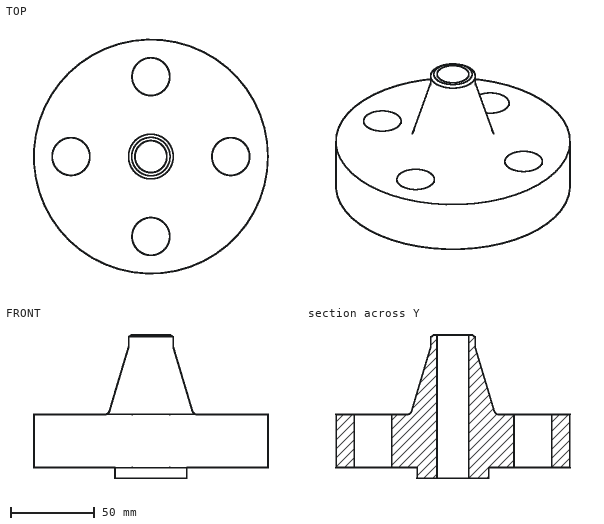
import cadquery as cq

flange_diameter = 139.7
flange_thickness = 31.75

spigot_diameter = 42.9
spigot_height = 6.35

overall_height = 85.6
neck_base_diameter = 50.8
neck_end_diameter = 26.7
neck_end_length = 7.2
bevel_height = 1.3
bevel_land_diameter = 22.9
neck_fillet_radius = 3.0

bore_diameter = 18.9
bolt_hole_diameter = 22.35
bolt_circle_diameter = 95.25
bolt_count = 4

flange_bottom = spigot_height
flange_top = flange_bottom + flange_thickness
cone_top = overall_height - neck_end_length
bevel_bottom = overall_height - bevel_height

selection_margin = 1.0


def make_base():
    """Flange disc standing on its smaller spigot."""
    spigot = cq.Workplane("XY").circle(spigot_diameter / 2).extrude(flange_bottom)
    disc = (
        cq.Workplane("XY")
        .workplane(offset=flange_bottom)
        .circle(flange_diameter / 2)
        .extrude(flange_thickness)
    )
    return spigot.union(disc)


def make_neck():
    """Conical hub ending in a straight, bevelled weld end."""
    return (
        cq.Workplane("XZ")
        .moveTo(0, flange_top)
        .lineTo(neck_base_diameter / 2, flange_top)
        .lineTo(neck_end_diameter / 2, cone_top)
        .lineTo(neck_end_diameter / 2, bevel_bottom)
        .lineTo(bevel_land_diameter / 2, overall_height)
        .lineTo(0, overall_height)
        .close()
        .revolve(360, (0, 0, 0), (0, 1, 0))
    )


def fillet_neck_root(body):
    """Round the corner between the cone and the flange face."""
    reach = neck_base_diameter / 2 + selection_margin
    around_root = cq.selectors.BoxSelector(
        (-reach, -reach, flange_top - selection_margin),
        (reach, reach, flange_top + selection_margin),
        boundingbox=True,
    )
    return body.edges(around_root).fillet(neck_fillet_radius)


def cut_bore(body):
    """Straight bore through the whole height."""
    bore = cq.Workplane("XY").circle(bore_diameter / 2).extrude(overall_height)
    return body.cut(bore)


def cut_bolt_holes(body):
    """Ring of through holes in the flange, the first one on +X."""
    holes = (
        cq.Workplane("XY")
        .workplane(offset=flange_bottom)
        .polarArray(bolt_circle_diameter / 2, 0, 360, bolt_count)
        .circle(bolt_hole_diameter / 2)
        .extrude(flange_thickness)
    )
    return body.cut(holes)


result = make_base().union(make_neck())
result = fillet_neck_root(result)
result = cut_bore(result)
result = cut_bolt_holes(result)